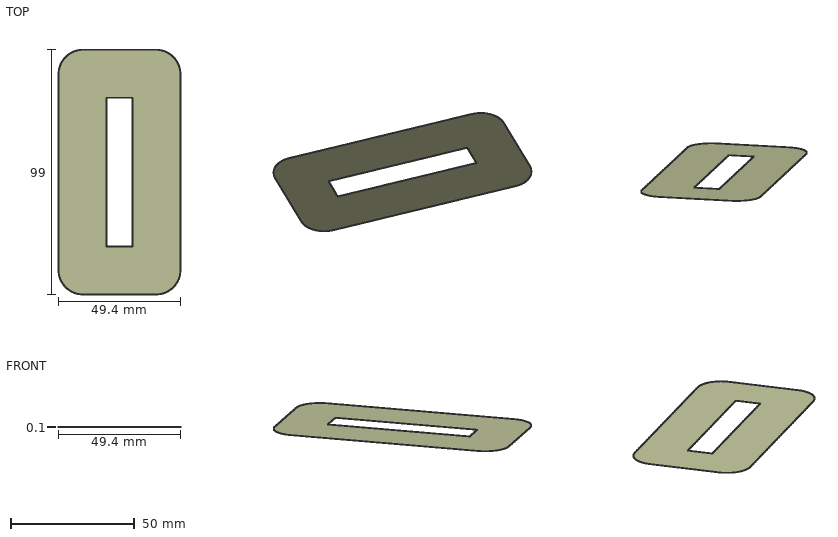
import cadquery as cq

length = 99.0
width = 49.4
thickness = 0.1
corner_radius = 10.0

frame_breadth = 19.5
slot_length = length - 2 * frame_breadth
slot_width = width - 2 * frame_breadth

plate = cq.Workplane("XY").box(width, length, thickness).edges("|Z").fillet(corner_radius)

result = plate.faces(">Z").workplane().rect(slot_width, slot_length).cutThruAll()